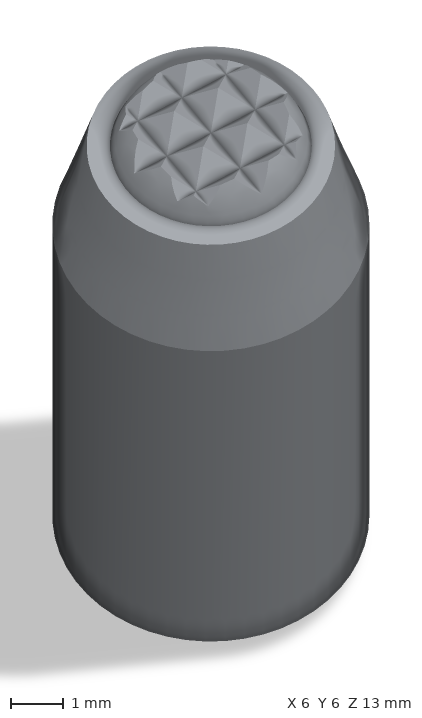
import cadquery as cq
import math

total_height = 13.0
body_radius = 3.0

chamfer_height = 0.5
chamfer_angle = 30.0
bottom_radius = body_radius - chamfer_height / math.tan(math.radians(chamfer_angle))

taper_start = 9.62
shoulder_height = 12.1
shoulder_radius = 2.35

tip_radius = 1.91
dome_radius = 2.0
dome_center = shoulder_height - math.sqrt(dome_radius**2 - tip_radius**2)

tooth_pitch = 1.0
tooth_depth = tooth_pitch / 2
groove_floor = total_height - tooth_depth
groove_positions = [i * tooth_pitch for i in (-1, 0, 1)]
groove_length = 2 * body_radius
groove_top = dome_center + dome_radius + 0.13
groove_half_width = groove_top - groove_floor


def make_body():
    """Cylinder with a chamfered bottom and a tapered nose."""
    profile = (
        cq.Workplane("XZ")
        .lineTo(bottom_radius, 0)
        .lineTo(body_radius, chamfer_height)
        .lineTo(body_radius, taper_start)
        .lineTo(shoulder_radius, shoulder_height)
        .lineTo(0, shoulder_height)
        .close()
    )
    return profile.revolve(360, (0, 0, 0), (0, 1, 0))


def make_groove(position):
    """V groove running along Y at the given X position."""
    return (
        cq.Workplane("XZ")
        .moveTo(position, groove_floor)
        .lineTo(position + groove_half_width, groove_top)
        .lineTo(position - groove_half_width, groove_top)
        .close()
        .extrude(groove_length / 2, both=True)
    )


def make_tip():
    """Dome cut by the grooves in both directions."""
    tip = cq.Workplane("XY").sphere(dome_radius).translate((0, 0, dome_center))
    for position in groove_positions:
        groove = make_groove(position)
        tip = tip.cut(groove)
        tip = tip.cut(groove.rotate((0, 0, 0), (0, 0, 1), 90))
    return tip


result = make_body().union(make_tip())